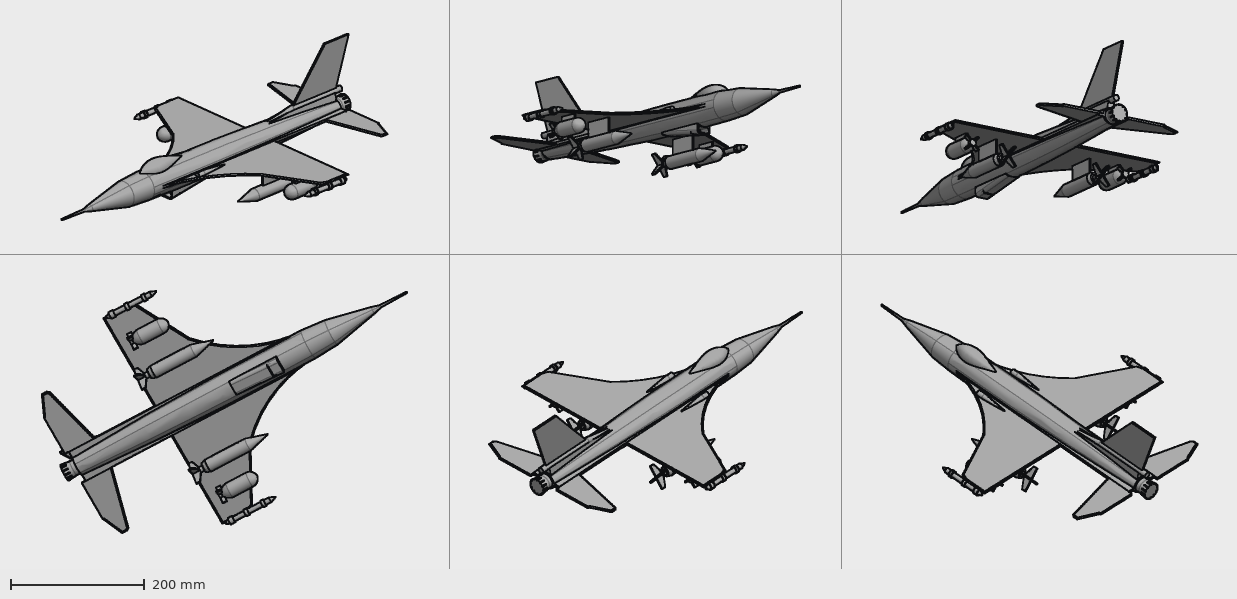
import cadquery as cq
import math


TAIL_END = (563.0, 15.5, 13.0, 0.5)
MID_BODY = (284.0, 24.0, 23.5, 0.0)
RADOME_BASE = (168.0, 23.5, 23.0, 0.0)
RADOME_BREAK = (129.0, 21.0, 21.0, -0.5)
NOSE_END = (58.0, 5.6, 5.6, 0.0)
PROBE_BASE = (44.0, 2.0, 2.0, 0.0)
BODY_SEAMS = (15, 60, 120, 165, 195, 240, 300, 345)
NOSE_SEAMS = (60, 120, 240, 300)

PROBE_TIP_RADIUS = 1.0
PROBE_ROOT_Y = 53.0
PROBE_ROOT_RADIUS = 2.5

PANEL_THICKNESS = 3.5
PANEL_BEVEL = 2.5
PANEL_ROOT_X = 12.0
SHELF_HALF_WIDTH = 26.0
SHELF_THICKNESS = 4.0
STRAKE_START_Y = 198.0
SHELF_NOSE = (21.5, 174.0)
WING_TIP_X = 184.0
WING_REAR_Y = 417.0
WING_TIP_FRONT_Y = 375.5
WING_TIP_CORNER = (180.0, 363.5)
STRAKE_REAR = (95.0, 319.0)
STRAKE_MIDDLE = (55.0, 272.0)
TAIL_TIP_X = 124.5
TAIL_REAR_Y = 569.5
TAIL_CORNER_X = 90.5
TAIL_TIP_REAR_Y = 555.0
TAIL_TIP_FRONT_Y = 546.0
TAIL_FRONT_CORNER = (121.5, 542.5)
TAIL_ROOT_FRONT_Y = 518.0

FIN_THICKNESS = 3.0
FIN_TOP_Z = 111.0
FIN_BASE_Z = 29.5
FIN_TOP_FRONT_Y = 543.0
FIN_TOP_REAR_Y = 592
FIN_BASE_FRONT_Y = 477.0
FIN_BASE_REAR_Y = 565.5
TUBE_RADIUS = 5.0
TUBE_Z = 26.0
TUBE_REAR_Y = 575.5
TUBE_FRONT_Y = 475.0
FAIRING_FRONT_Y = 420.5
FAIRING_FRONT_Z = 19.5
FAIRING_REAR_Y = 561.0
FAIRING_BASE_Z = 6.0
FAIRING_TOP_HALF_WIDTH = 4.45
FAIRING_BASE_HALF_WIDTH = 8.0

NOZZLE_END_Y = 584.5
NOZZLE_NECK_Y = 569.5
NOZZLE_ROOT_Y = 556.5
NOZZLE_NECK_RADIUS = 12.0
NOZZLE_END_RADIUS = 13.5
PETAL_COUNT = 12
PETAL_SLOT_WIDTH = 1.5
PETAL_SLOT_DEPTH = 1.5
PETAL_SLOT_LENGTH = 9.0

CANOPY_AXIS_Z = 22.0
CANOPY_HEIGHT = 14.0
CANOPY_FRONT_Y = 161.0
CANOPY_PEAK_Y = 197.0
CANOPY_TAPER = (8.0, 226.0)
CANOPY_REAR_Y = 256.5

INTAKE_HALF_WIDTH = 12.5
INTAKE_LIP_Y = 216.0
INTAKE_REAR_Y = 297.0
INTAKE_BOTTOM_Z = -35.5
INTAKE_REAR_Z = -23.5
INTAKE_ROOF_Z = -18.0
INTAKE_CORNER = 5.5
INTAKE_WALL = 2.5
INTAKE_DEPTH = 18.0
INTAKE_MOUTH_HEIGHT = 9.0

BLISTER_X = 35.0
BLISTER_FRONT_Y = 247.0
BLISTER_REAR_Y = 303.0
BLISTER_TAPER_Y = 258.0
BLISTER_RADIUS = 5.0
BLISTER_TIP_RADIUS = 0.5
BLISTER_Z = 2.65

PYLON_THICKNESS = 3.0
FIN_PLATE = 2.5
POINT_RADIUS = 0.5

BOMB_X = 84.0
BOMB_Z = -35.5
BOMB_RADIUS = 10.0
BOMB_SHOULDER_RADIUS = 7.5
BOMB_COLLAR_RADIUS = 4.45
BOMB_STEM_RADIUS = 1.5
BOMB_NOSE_Y = 284.0
BOMB_FRONT_Y = 318.0
BOMB_REAR_Y = 386.0
BOMB_COLLAR_Y = 393.0
BOMB_STEM_Y = 399.5
BOMB_FIN_TIP_Y = 406.0
BOMB_END_Y = 412.5
BOMB_FIN_ANGLE = 38
BOMB_FIN_SPAN = 19.5
BOMB_PYLON = (334.5, 379.0)

TANK_X = 137.5
TANK_Z = -21.0
TANK_RADIUS = 12.0
TANK_COLLAR_RADIUS = 5.5
TANK_NOSE_Y = 331.5
TANK_NOSE_BULGE = (8.0, 336.0)
TANK_FRONT_Y = 344.5
TANK_REAR_Y = 379.0
TANK_TAIL_BULGE = (9.5, 386.0)
TANK_COLLAR_Y = 391.5
TANK_END_Y = 396.0
TANK_FIN_FRONT_Y = 389.0
TANK_FIN_ANGLE = 45
TANK_FIN_SPAN = 14.0
TANK_PYLON = (350.5, 379.0)

MISSILE_X = WING_TIP_X
MISSILE_Z = -5.5
MISSILE_RADIUS = 4.0
MISSILE_RING_RADIUS = 5.6
MISSILE_END_RADIUS = 2.0
MISSILE_NOSE_Y = 326.0
MISSILE_FRONT_Y = 335.0
MISSILE_REAR_Y = 405.0
MISSILE_END_Y = 411.0
MISSILE_RINGS = ((344.0, 349.5), (372.5, 378.5), (397.0, 405.0))


def both_sides(solid):
    return solid.union(solid.mirror("YZ"))


def turned(profile, x, z):
    """Revolve (aft, radius) points about a fore-and-aft axis at (x, z)."""
    outline = [(radius, aft) for aft, radius in profile]
    outline.append((0, profile[-1][0]))
    outline.insert(0, (0, profile[0][0]))
    body = cq.Workplane("XY").polyline(outline).close()
    return body.revolve(360, (0, 0, 0), (0, 1, 0)).translate((x, 0, z))


def side_plate(outline, thickness, x=0.0):
    """Upright plate from (aft, height) points, centred on x."""
    return cq.Workplane("YZ", origin=(x, 0, 0)).polyline(outline).close().extrude(thickness / 2, both=True)


def bevelled(outline):
    """Flat panel on the XY plane whose edges slope to a sharp rim at mid thickness."""
    half = PANEL_THICKNESS / 2
    slope = math.degrees(math.atan2(PANEL_BEVEL, half))
    upper = outline.extrude(half, taper=slope)
    return upper.union(upper.mirror("XY"))


def section(station, seams):
    aft, half_width, half_height, centre_z = station
    plane = cq.Workplane("XZ", origin=(0, aft, centre_z))
    ends = seams[1:] + (seams[0] + 360,)
    first = math.radians(seams[0])
    plane = plane.moveTo(half_width * math.cos(first), half_height * math.sin(first))
    for start, end in zip(seams, ends):
        plane = plane.ellipseArc(half_width, half_height, start, end, startAtCurrent=True)
    return plane.close().val()


def loft(stations, seams, ruled=False):
    sections = [section(station, seams) for station in stations]
    return cq.Workplane(cq.Solid.makeLoft(sections, ruled))


def fuselage():
    body = loft((TAIL_END, MID_BODY, RADOME_BASE), BODY_SEAMS)
    nose = loft((RADOME_BASE, RADOME_BREAK, NOSE_END, PROBE_BASE), NOSE_SEAMS, ruled=True)
    probe = turned([(0, PROBE_TIP_RADIUS), (PROBE_ROOT_Y, PROBE_ROOT_RADIUS)], 0, 0)
    return body.union(nose).union(probe)


def nozzle():
    cone = turned(
        [
            (NOZZLE_ROOT_Y, NOZZLE_NECK_RADIUS),
            (NOZZLE_NECK_Y, NOZZLE_NECK_RADIUS),
            (NOZZLE_END_Y, NOZZLE_END_RADIUS),
        ],
        0,
        0,
    )
    slot = cq.Workplane("XY").box(PETAL_SLOT_WIDTH, PETAL_SLOT_LENGTH, 2 * PETAL_SLOT_DEPTH)
    slot = slot.translate((0, NOZZLE_END_Y - PETAL_SLOT_LENGTH / 2, NOZZLE_END_RADIUS))
    for petal in range(PETAL_COUNT):
        angle = 360 / PETAL_COUNT * petal
        cone = cone.cut(slot.rotate((0, 0, 0), (0, 1, 0), angle))
    return cone


def canopy():
    outline = (
        cq.Workplane("XY")
        .moveTo(0, CANOPY_FRONT_Y)
        .spline(
            [(CANOPY_HEIGHT, CANOPY_PEAK_Y), CANOPY_TAPER, (0, CANOPY_REAR_Y)],
            includeCurrent=True,
        )
        .close()
    )
    return outline.revolve(360, (0, 0, 0), (0, 1, 0)).translate((0, 0, CANOPY_AXIS_Z))


def intake():
    scoop = side_plate(
        [
            (INTAKE_LIP_Y, INTAKE_ROOF_Z),
            (INTAKE_LIP_Y, INTAKE_BOTTOM_Z),
            (INTAKE_REAR_Y, INTAKE_REAR_Z),
            (INTAKE_REAR_Y, INTAKE_ROOF_Z),
        ],
        2 * INTAKE_HALF_WIDTH,
    )
    scoop = scoop.faces("<Z").edges("<X or >X").fillet(INTAKE_CORNER)
    mouth_z = INTAKE_BOTTOM_Z + INTAKE_WALL + INTAKE_MOUTH_HEIGHT / 2
    mouth = (
        cq.Workplane("XZ", origin=(0, INTAKE_LIP_Y, mouth_z))
        .rect(2 * (INTAKE_HALF_WIDTH - INTAKE_WALL), INTAKE_MOUTH_HEIGHT)
        .extrude(-INTAKE_DEPTH)
        .edges("|Y")
        .fillet(INTAKE_CORNER - INTAKE_WALL)
    )
    return scoop.cut(mouth)


def shelf():
    outline = [
        SHELF_NOSE,
        (SHELF_HALF_WIDTH, STRAKE_START_Y),
        (SHELF_HALF_WIDTH, TAIL_END[0]),
        (0, TAIL_END[0]),
        (0, SHELF_NOSE[1]),
    ]
    half = cq.Workplane("XY").polyline(outline).close().extrude(SHELF_THICKNESS / 2, both=True)
    return both_sides(half)


def wings():
    outline = (
        cq.Workplane("XY")
        .moveTo(PANEL_ROOT_X, WING_REAR_Y)
        .lineTo(WING_TIP_X, WING_REAR_Y)
        .lineTo(WING_TIP_X, WING_TIP_FRONT_Y)
        .lineTo(*WING_TIP_CORNER)
        .lineTo(*STRAKE_REAR)
        .threePointArc(STRAKE_MIDDLE, (SHELF_HALF_WIDTH, STRAKE_START_Y))
        .lineTo(PANEL_ROOT_X, STRAKE_START_Y)
        .close()
    )
    return both_sides(bevelled(outline))


def tailplanes():
    outline = (
        cq.Workplane("XY")
        .moveTo(PANEL_ROOT_X, TAIL_REAR_Y)
        .lineTo(TAIL_CORNER_X, TAIL_REAR_Y)
        .lineTo(TAIL_TIP_X, TAIL_TIP_REAR_Y)
        .lineTo(TAIL_TIP_X, TAIL_TIP_FRONT_Y)
        .lineTo(*TAIL_FRONT_CORNER)
        .lineTo(SHELF_HALF_WIDTH, TAIL_ROOT_FRONT_Y)
        .lineTo(PANEL_ROOT_X, TAIL_ROOT_FRONT_Y)
        .close()
    )
    strip_depth = 2 * PANEL_BEVEL
    rear_strip = cq.Workplane("XY").box(
        TAIL_CORNER_X - SHELF_HALF_WIDTH, strip_depth, PANEL_THICKNESS, centered=(False, False, True)
    )
    rear_strip = rear_strip.translate((SHELF_HALF_WIDTH, TAIL_REAR_Y - strip_depth, 0))
    root_gap = cq.Workplane("XY").box(
        SHELF_HALF_WIDTH, TAIL_REAR_Y - TAIL_END[0], PANEL_THICKNESS, centered=(False, False, True)
    )
    root_gap = root_gap.translate((0, TAIL_END[0], 0))
    return both_sides(bevelled(outline).union(rear_strip).cut(root_gap))


def fin():
    outline = [
        (FIN_BASE_REAR_Y, FIN_BASE_Z),
        (FIN_TOP_REAR_Y, FIN_TOP_Z),
        (FIN_TOP_FRONT_Y, FIN_TOP_Z),
        (FIN_BASE_FRONT_Y, FIN_BASE_Z),
    ]
    return side_plate(outline, FIN_THICKNESS)


def fin_fairing():
    tube = turned([(TUBE_FRONT_Y, TUBE_RADIUS), (TUBE_REAR_Y, TUBE_RADIUS)], 0, TUBE_Z)
    ramp = (
        cq.Workplane("XZ", origin=(0, TUBE_FRONT_Y, TUBE_Z))
        .circle(TUBE_RADIUS)
        .workplane(offset=TUBE_FRONT_Y - FAIRING_FRONT_Y)
        .center(0, FAIRING_FRONT_Z - TUBE_RADIUS - TUBE_Z)
        .circle(TUBE_RADIUS)
        .loft()
    )
    ridge = (
        cq.Workplane("XZ", origin=(0, FAIRING_REAR_Y, 0))
        .polyline(
            [
                (-FAIRING_BASE_HALF_WIDTH, FAIRING_BASE_Z),
                (FAIRING_BASE_HALF_WIDTH, FAIRING_BASE_Z),
                (FAIRING_TOP_HALF_WIDTH, TUBE_Z),
                (-FAIRING_TOP_HALF_WIDTH, TUBE_Z),
            ]
        )
        .close()
        .extrude(FAIRING_REAR_Y - FAIRING_FRONT_Y)
    )
    ridge_side = side_plate(
        [
            (FAIRING_REAR_Y, FAIRING_BASE_Z),
            (FAIRING_REAR_Y, TUBE_Z),
            (TUBE_FRONT_Y, TUBE_Z),
            (FAIRING_FRONT_Y, FAIRING_FRONT_Z),
            (FAIRING_FRONT_Y, FAIRING_BASE_Z),
        ],
        2 * FAIRING_BASE_HALF_WIDTH,
    )
    return tube.union(ramp).union(ridge.intersect(ridge_side))


def blisters():
    cone = turned(
        [
            (BLISTER_FRONT_Y, BLISTER_RADIUS),
            (BLISTER_TAPER_Y, BLISTER_RADIUS),
            (BLISTER_REAR_Y, BLISTER_TIP_RADIUS),
        ],
        BLISTER_X,
        BLISTER_Z,
    )
    length = BLISTER_REAR_Y - BLISTER_FRONT_Y
    width = 2 * BLISTER_RADIUS
    upper = cq.Workplane("XY").box(width, length, width, centered=(True, False, False))
    upper = upper.translate((BLISTER_X, BLISTER_FRONT_Y, 0))
    return both_sides(cone.intersect(upper))


def pylon(x, store_z, front_y, rear_y):
    return side_plate([(front_y, store_z), (rear_y, store_z), (rear_y, 0), (front_y, 0)], PYLON_THICKNESS, x)


def cross_fins(outline, angle_from_vertical, x, z):
    """Four plates from (aft, radius) points, crossed about the store axis."""
    plate = side_plate(outline, FIN_PLATE)
    fins = cq.Workplane("XY")
    for turn in (angle_from_vertical, 180 - angle_from_vertical):
        for angle in (turn, -turn):
            fins = fins.union(plate.rotate((0, 0, 0), (0, 1, 0), angle))
    return fins.translate((x, 0, z))


def bombs():
    body = turned(
        [
            (BOMB_NOSE_Y, POINT_RADIUS),
            (BOMB_FRONT_Y, BOMB_RADIUS),
            (BOMB_REAR_Y, BOMB_RADIUS),
            (BOMB_COLLAR_Y, BOMB_SHOULDER_RADIUS),
            (BOMB_COLLAR_Y, BOMB_COLLAR_RADIUS),
            (BOMB_STEM_Y, BOMB_COLLAR_RADIUS),
            (BOMB_STEM_Y, BOMB_STEM_RADIUS),
            (BOMB_END_Y, BOMB_STEM_RADIUS),
        ],
        BOMB_X,
        BOMB_Z,
    )
    fin_outline = [
        (BOMB_STEM_Y, 0),
        (BOMB_STEM_Y, BOMB_COLLAR_RADIUS),
        (BOMB_FIN_TIP_Y, BOMB_FIN_SPAN),
        (BOMB_END_Y, BOMB_FIN_SPAN),
        (BOMB_END_Y, 0),
    ]
    fins = cross_fins(fin_outline, BOMB_FIN_ANGLE, BOMB_X, BOMB_Z)
    return both_sides(body.union(fins).union(pylon(BOMB_X, BOMB_Z, *BOMB_PYLON)))


def tanks():
    outline = (
        cq.Workplane("XY")
        .moveTo(0, TANK_NOSE_Y)
        .threePointArc(TANK_NOSE_BULGE, (TANK_RADIUS, TANK_FRONT_Y))
        .lineTo(TANK_RADIUS, TANK_REAR_Y)
        .threePointArc(TANK_TAIL_BULGE, (TANK_COLLAR_RADIUS, TANK_COLLAR_Y))
        .lineTo(TANK_COLLAR_RADIUS, TANK_END_Y)
        .lineTo(0, TANK_END_Y)
        .close()
    )
    body = outline.revolve(360, (0, 0, 0), (0, 1, 0)).translate((TANK_X, 0, TANK_Z))
    fin_outline = [
        (TANK_FIN_FRONT_Y, 0),
        (TANK_FIN_FRONT_Y, TANK_FIN_SPAN),
        (TANK_END_Y, TANK_FIN_SPAN),
        (TANK_END_Y, 0),
    ]
    fins = cross_fins(fin_outline, TANK_FIN_ANGLE, TANK_X, TANK_Z)
    return both_sides(body.union(fins).union(pylon(TANK_X, TANK_Z, *TANK_PYLON)))


def missiles():
    body = turned(
        [
            (MISSILE_NOSE_Y, POINT_RADIUS),
            (MISSILE_FRONT_Y, MISSILE_RADIUS),
            (MISSILE_REAR_Y, MISSILE_RADIUS),
            (MISSILE_END_Y, MISSILE_END_RADIUS),
        ],
        MISSILE_X,
        MISSILE_Z,
    )
    for front_y, rear_y in MISSILE_RINGS:
        ring_profile = [(front_y, MISSILE_RING_RADIUS), (rear_y, MISSILE_RING_RADIUS)]
        body = body.union(turned(ring_profile, MISSILE_X, MISSILE_Z))
    return both_sides(body)


result = fuselage()
for piece in (
    shelf(),
    wings(),
    tailplanes(),
    fin_fairing(),
    fin(),
    nozzle(),
    canopy(),
    intake(),
    blisters(),
    bombs(),
    tanks(),
    missiles(),
):
    result = result.union(piece)